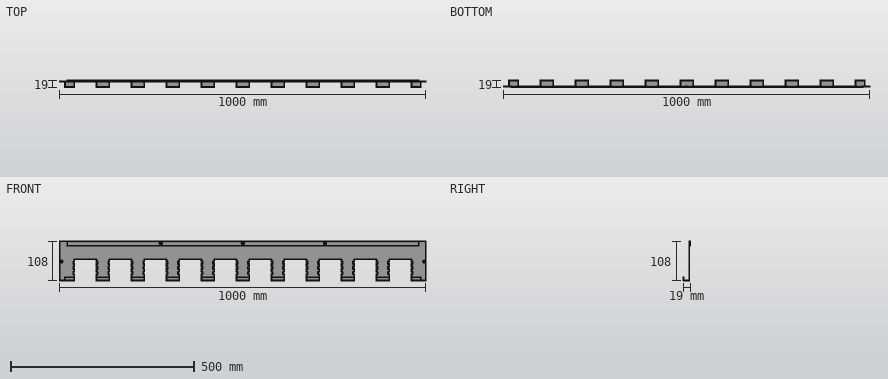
import cadquery as cq

length = 1000.0
depth = 19.0
height = 108.0
sheet = 1.0

slot_count = 10
slot_width = 60.0
slot_height = 58.0
end_tooth_width = 40.0
slot_pitch = (length - 2 * end_tooth_width - slot_width) / (slot_count - 1)

notch_depth = 3.0
notch_height = 6.0
notch_spacing = 14.0
notch_count = 3
lowest_notch = 21.0

hem_length = 960.0
hem_thickness = 3.2
hem_drop = 13.0

hook_height = 9.0
inner_bend = 0.5
end_hook_inset = 14.0

top_hole_diameter = 6.0
top_hole_spacing = 224.0
top_hole_drop = 6.0
end_hole_diameter = 5.0
end_hole_inset = 5.0
end_hole_level = 52.0


def block(x_range, y_range, z_range):
    """Box spanning the given (low, high) ranges."""
    spans = [high - low for low, high in (x_range, y_range, z_range)]
    corner = (x_range[0], y_range[0], z_range[0])
    return cq.Workplane("XY").box(*spans, centered=False).translate(corner)


def centred(middle, size):
    """Range of the given size around a middle value."""
    return (middle - size / 2, middle + size / 2)


plate_y = (-sheet, 0)
plate = block(centred(0, length), plate_y, (0, height))

slot_centres = [slot_pitch * (i - (slot_count - 1) / 2) for i in range(slot_count)]
for centre in slot_centres:
    plate = plate.cut(block(centred(centre, slot_width), plate_y, (0, slot_height)))
    notch_x = centred(centre, slot_width + 2 * notch_depth)
    for i in range(notch_count):
        notch_z = centred(lowest_notch + i * notch_spacing, notch_height)
        plate = plate.cut(block(notch_x, plate_y, notch_z))


def hem(x_range):
    """Half-round fold over the top of the plate, with a leg hanging down on either side."""
    outer_radius = hem_thickness / 2
    inner_radius = outer_radius - sheet
    middle_y = outer_radius - sheet
    back_y = hem_thickness - sheet
    fold_z = height - outer_radius
    leg_z = height - hem_drop
    profile = (
        cq.Workplane("YZ", origin=(x_range[0], 0, 0))
        .moveTo(-sheet, leg_z)
        .lineTo(-sheet, fold_z)
        .threePointArc((middle_y, height), (back_y, fold_z))
        .lineTo(back_y, leg_z)
        .lineTo(back_y - sheet, leg_z)
        .lineTo(back_y - sheet, fold_z)
        .threePointArc((middle_y, fold_z + inner_radius), (0, fold_z))
        .lineTo(0, leg_z)
        .close()
    )
    return profile.extrude(x_range[1] - x_range[0])


hem_x = centred(0, hem_length)
plate = plate.cut(block(hem_x, plate_y, (height - hem_thickness / 2, height)))
result = plate.union(hem(hem_x))

hook_front = hem_thickness - sheet - depth
outer_bend = inner_bend + sheet


def hook(x_range):
    """Trough with rounded bends, open at the top."""
    outside = block(x_range, (hook_front, 0), (0, hook_height))
    outside = outside.edges("|X and <Z").fillet(outer_bend)
    inside = block(x_range, (hook_front + sheet, -sheet), (sheet, hook_height + sheet))
    inside = inside.edges("|X and <Z").fillet(inner_bend)
    return outside.cut(inside)


slot_sides = [centre + side * slot_width / 2 for centre in slot_centres for side in (-1, 1)]
end_hook_edge = length / 2 - end_hook_inset
hook_sides = [-end_hook_edge] + slot_sides + [end_hook_edge]
for hook_x in zip(hook_sides[::2], hook_sides[1::2]):
    result = result.cut(block(hook_x, plate_y, (0, outer_bend)))
    result = result.union(hook(hook_x))

def drill(points, diameter):
    """Rods along Y, long enough to pass through the plate and the hem."""
    start = cq.Workplane("XZ", origin=(0, hem_thickness, 0))
    return start.pushPoints(points).circle(diameter / 2).extrude(hem_thickness + sheet)


top_holes = [(i * top_hole_spacing, height - top_hole_drop) for i in (-1, 0, 1)]
end_holes = [(side * (length / 2 - end_hole_inset), end_hole_level) for side in (-1, 1)]
result = result.cut(drill(top_holes, top_hole_diameter))
result = result.cut(drill(end_holes, end_hole_diameter))